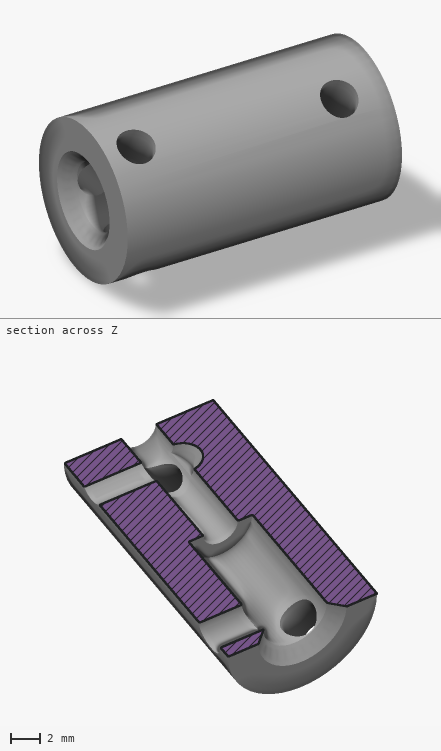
import cadquery as cq
import math

length = 22.0
outer_diameter = 12.0
large_bore_diameter = 5.1
small_bore_diameter = 2.8
lead_in_diameter = 7.08
large_bore_depth = length / 2
lead_in_depth = (lead_in_diameter - large_bore_diameter) / 2

screw_diameter = 2.8
screw_count = 3
front_screw_inset = 2.46
rear_screw_inset = 3.72
rear_screw_offset = 0.97

front_y = -length / 2
rear_y = length / 2


def make_body():
    """Revolve the half section of the stepped sleeve about the Y axis."""
    outer_radius = outer_diameter / 2
    large_radius = large_bore_diameter / 2
    small_radius = small_bore_diameter / 2
    bore_floor_y = front_y + large_bore_depth
    section = [
        (lead_in_diameter / 2, front_y),
        (outer_radius, front_y),
        (outer_radius, rear_y),
        (small_radius, rear_y),
        (small_radius, bore_floor_y),
        (large_radius, bore_floor_y),
        (large_radius, front_y + lead_in_depth),
    ]
    return cq.Workplane("XY").polyline(section).close().revolve(360, (0, 0), (0, 1))


def screw_holes(y, offset):
    """Cylinders running outward from the axis, the first toward -X, shifted sideways by offset."""
    cutters = cq.Workplane("XY")
    for index in range(screw_count):
        angle = math.pi + index * 2 * math.pi / screw_count
        outward = cq.Vector(math.cos(angle), 0, math.sin(angle))
        sideways = cq.Vector(math.sin(angle), 0, -math.cos(angle))
        start = sideways * offset + cq.Vector(0, y, 0)
        cutters = cutters.add(
            cq.Solid.makeCylinder(screw_diameter / 2, outer_diameter, start, outward)
        )
    return cutters.combine()


result = (
    make_body()
    .cut(screw_holes(front_y + front_screw_inset, 0))
    .cut(screw_holes(rear_y - rear_screw_inset, rear_screw_offset))
)